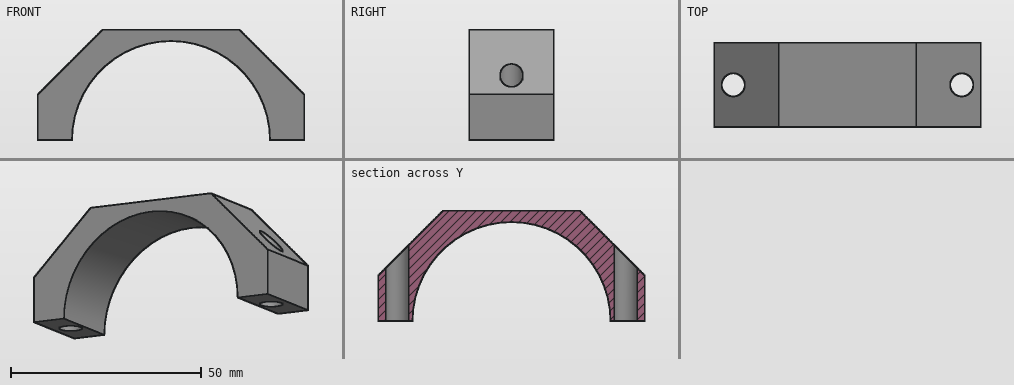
import cadquery as cq

length = 70.0
width = 22.2
height = 29.0

saddle_radius = 26.0

shoulder_size = 17.0

bolt_diameter = 6.0
bolt_spacing = 60.0


def clamp_block():
    """Rectangular block with the upper edge at each X end cut to shoulders."""
    block = cq.Workplane("XY").box(length, width, height, centered=(True, True, False))
    return block.faces(">Z").edges("|Y and (<X or >X)").chamfer(shoulder_size)


def saddle_cutter():
    """Cylinder along Y whose upper half clears the saddle."""
    return cq.Workplane("XZ", origin=(0, width / 2, 0)).circle(saddle_radius).extrude(width)


def bolt_cutters():
    """Vertical cylinders running through the two legs."""
    centers = [(-bolt_spacing / 2, 0), (bolt_spacing / 2, 0)]
    return cq.Workplane("XY").pushPoints(centers).circle(bolt_diameter / 2).extrude(height)


result = clamp_block().cut(saddle_cutter()).cut(bolt_cutters())